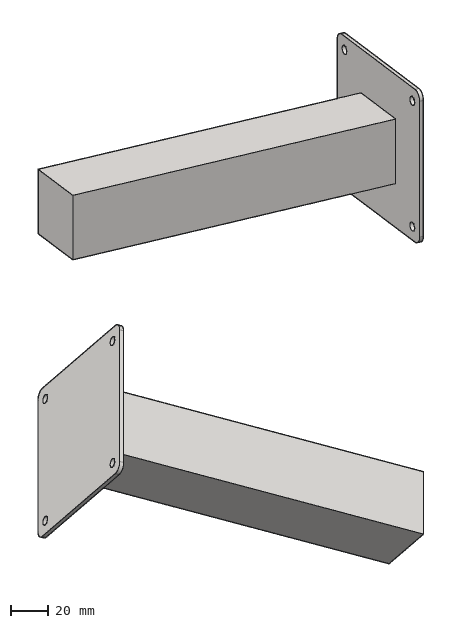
import cadquery as cq

total_length = 200.0
plate_size = 90.0
plate_thickness = 2.5
post_size = 38.0

corner_radius = 5.0
hole_spacing = 74.0
hole_diameter = 5.0

post_length = total_length - plate_thickness


def make_plate():
    """Square mounting plate with its outer face on Y = 0 and four corner holes."""
    plate = (
        cq.Workplane("XZ")
        .rect(plate_size, plate_size)
        .extrude(plate_thickness)
        .edges("|Y")
        .fillet(corner_radius)
    )
    holes = (
        cq.Workplane("XZ")
        .rect(hole_spacing, hole_spacing, forConstruction=True)
        .vertices()
        .circle(hole_diameter / 2)
        .extrude(plate_thickness)
    )
    return plate.cut(holes)


def make_post():
    """Square post standing on the plate and running toward -Y."""
    return (
        cq.Workplane("XZ", origin=(0, -plate_thickness, 0))
        .rect(post_size, post_size)
        .extrude(post_length)
    )


result = make_plate().union(make_post())